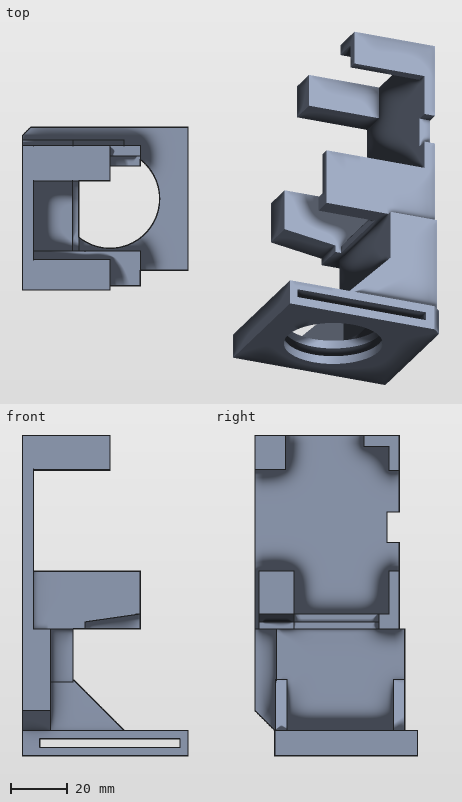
import cadquery as cq

TOTAL_HEIGHT = 113.15

BASE_LENGTH = 58.62
BASE_FRONT = 7.0
BASE_BACK = 57.55
BASE_HEIGHT = 9.0
BASE_CORNER_CHAMFER = 3.0
BASE_CENTER_Y = (BASE_FRONT + BASE_BACK) / 2
HOLE_DIAMETER = 35.0
HOLE_CENTER_X = 31.0

SLOT_START = 6.2
SLOT_END = 55.7
SLOT_BOTTOM = BASE_HEIGHT / 3
SLOT_TOP = 2 * BASE_HEIGHT / 3

WALL_THICKNESS = 4.0
WALL_BACK = 51.05
NOTCH_BOTTOM = 75.4
NOTCH_TOP = 86.1
NOTCH_DEPTH = 4.3

BODY_BACK = 53.05
BODY_HEIGHT = 44.8
SKIRT_DEPTH = 10.0
COLUMN_DEPTH = 18.0
COLUMN_FRONT = 7.4
RECESS_BOTTOM = 26.0
RECESS_BACK = 7.7

GUSSET_SIZE = 18.0
GUSSET_THICKNESS = 4.0

HOLDER_END = 41.7
HOLDER_TOP = 65.2
HOLDER_FRONT = 1.5
HOLDER_FRONT_INNER = 13.8
HOLDER_RELIEF_START = 22.2
HOLDER_RELIEF_LOW = 47.3
HOLDER_RELIEF_HIGH = 50.1
BACK_RAIL_THICKNESS = 3.65
BACK_LIP_INNER = 43.8
SEAT_DEPTH = 17.75
SEAT_LEDGE_DEPTH = 20.0
SEAT_LEDGE_TOP = HOLDER_RELIEF_LOW
SEAT_TOP = HOLDER_RELIEF_HIGH

ARM_END = 31.0
FRONT_ARM_INNER = 10.8
FRONT_ARM_BOTTOM = 101.2
BACK_ARM_INNER = 38.6
BACK_ARM_BOTTOM = 100.8
BACK_ARM_LIP_THICKNESS = 3.9


def block(x_range, y_range, z_range):
    """Axis-aligned box spanning the three (start, end) ranges."""
    (x0, x1), (y0, y1), (z0, z1) = x_range, y_range, z_range
    return cq.Workplane("XY").box(x1 - x0, y1 - y0, z1 - z0, centered=False).translate((x0, y0, z0))


def side_prism(points, y_start, y_end):
    """Extrude an outline of (x, z) points from y_start to y_end."""
    return cq.Workplane("XZ", origin=(0, y_start, 0)).polyline(points).close().extrude(y_start - y_end)


def make_base():
    plate = block((0, BASE_LENGTH), (BASE_FRONT, BASE_BACK), (0, BASE_HEIGHT))
    plate = plate.edges("|Z and <X and >Y").chamfer(BASE_CORNER_CHAMFER)
    hole = (
        cq.Workplane("XY")
        .center(HOLE_CENTER_X, BASE_CENTER_Y)
        .circle(HOLE_DIAMETER / 2)
        .extrude(BASE_HEIGHT)
    )
    slot = block((SLOT_START, SLOT_END), (BASE_FRONT, BASE_BACK), (SLOT_BOTTOM, SLOT_TOP))
    return plate.cut(hole).cut(slot)


def make_wall():
    sheet = block((0, WALL_THICKNESS), (0, WALL_BACK), (BODY_HEIGHT, TOTAL_HEIGHT))
    notch = block(
        (0, WALL_THICKNESS),
        (WALL_BACK - NOTCH_DEPTH, WALL_BACK),
        (NOTCH_BOTTOM, NOTCH_TOP),
    )
    return sheet.cut(notch)


def make_body():
    skirt = (
        cq.Workplane("YZ")
        .moveTo(BASE_FRONT, BASE_HEIGHT)
        .lineTo(BODY_BACK, BASE_HEIGHT)
        .lineTo(BODY_BACK, BODY_HEIGHT)
        .lineTo(0, BODY_HEIGHT)
        .lineTo(0, BASE_HEIGHT + BASE_FRONT)
        .close()
        .extrude(SKIRT_DEPTH)
    )
    column = block((SKIRT_DEPTH, COLUMN_DEPTH), (COLUMN_FRONT, BODY_BACK), (BASE_HEIGHT, BODY_HEIGHT))
    recess = block(
        (SKIRT_DEPTH, COLUMN_DEPTH),
        (COLUMN_FRONT, RECESS_BACK),
        (RECESS_BOTTOM, BODY_HEIGHT),
    )
    return skirt.union(column.cut(recess))


def make_gusset(y_start):
    outline = [
        (COLUMN_DEPTH, BASE_HEIGHT),
        (COLUMN_DEPTH + GUSSET_SIZE, BASE_HEIGHT),
        (COLUMN_DEPTH, BASE_HEIGHT + GUSSET_SIZE),
    ]
    return side_prism(outline, y_start, y_start + GUSSET_THICKNESS)


def make_front_holder():
    outline = [
        (WALL_THICKNESS, BODY_HEIGHT),
        (HOLDER_RELIEF_START, BODY_HEIGHT),
        (HOLDER_RELIEF_START, HOLDER_RELIEF_LOW),
        (HOLDER_END, HOLDER_RELIEF_HIGH),
        (HOLDER_END, HOLDER_TOP),
        (WALL_THICKNESS, HOLDER_TOP),
    ]
    return side_prism(outline, HOLDER_FRONT, HOLDER_FRONT_INNER)


def make_back_holder():
    x_range = (WALL_THICKNESS, HOLDER_END)
    rail_inner = WALL_BACK - BACK_RAIL_THICKNESS
    rail = block(x_range, (rail_inner, WALL_BACK), (BODY_HEIGHT, HOLDER_TOP))
    lip = block(x_range, (BACK_LIP_INNER, rail_inner), (BODY_HEIGHT, SEAT_TOP))
    return rail.union(lip)


def make_seat():
    y_range = (HOLDER_FRONT_INNER, BACK_LIP_INNER)
    ledge = block((WALL_THICKNESS, SEAT_LEDGE_DEPTH), y_range, (BODY_HEIGHT, SEAT_LEDGE_TOP))
    step = block((WALL_THICKNESS, SEAT_DEPTH), y_range, (SEAT_LEDGE_TOP, SEAT_TOP))
    return ledge.union(step)


def make_arms():
    x_range = (WALL_THICKNESS, ARM_END)
    rail_inner = WALL_BACK - BACK_RAIL_THICKNESS
    front_arm = block(x_range, (0, FRONT_ARM_INNER), (FRONT_ARM_BOTTOM, TOTAL_HEIGHT))
    back_rail = block(x_range, (rail_inner, WALL_BACK), (BACK_ARM_BOTTOM, TOTAL_HEIGHT))
    back_lip = block(
        x_range,
        (BACK_ARM_INNER, rail_inner),
        (TOTAL_HEIGHT - BACK_ARM_LIP_THICKNESS, TOTAL_HEIGHT),
    )
    return front_arm.union(back_rail).union(back_lip)


result = make_base().union(make_body()).union(make_wall())
for gusset_start in (COLUMN_FRONT, BODY_BACK - GUSSET_THICKNESS):
    result = result.union(make_gusset(gusset_start))
for feature in (make_front_holder(), make_back_holder(), make_seat(), make_arms()):
    result = result.union(feature)
result = result.clean()